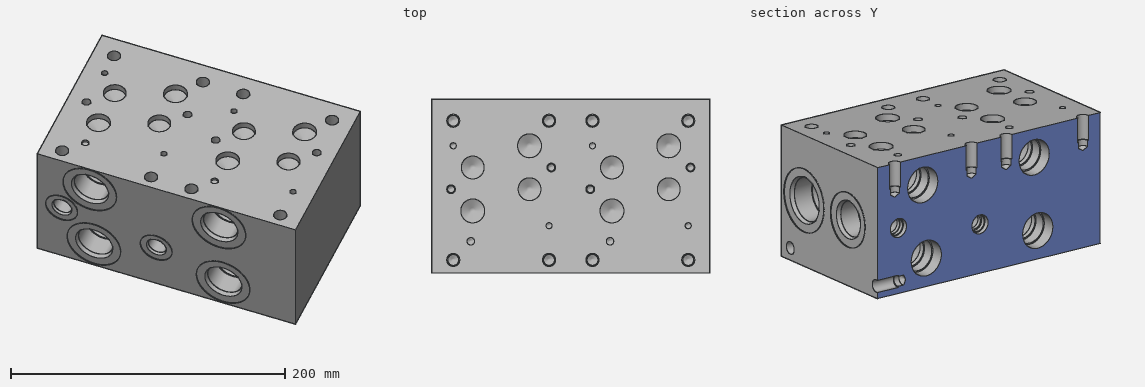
import cadquery as cq
import math

LENGTH = 203.2
WIDTH = 127.0
HEIGHT = 101.5

DRILL_POINT_ANGLE = 118.0

PATTERN_PITCH = LENGTH / 2
BOLT_SPACING_X = 70.0
BOLT_SPACING_Y = 101.5
BOLT_INSET = (PATTERN_PITCH - BOLT_SPACING_X) / 2
BOLT_ROW_TOP = WIDTH - BOLT_INSET

MAIN_BOLTS = [(x, y) for x in (0, BOLT_SPACING_X) for y in (0, BOLT_SPACING_Y)]
SMALL_BOLT_OVERHANG = 1.6
SMALL_BOLTS = [
    (BOLT_SPACING_X + SMALL_BOLT_OVERHANG, 34.1),
    (-SMALL_BOLT_OVERHANG, 50.0),
]
LEFT_PORT_COLUMN = 14.2
RIGHT_PORT_COLUMN = BOLT_SPACING_X - LEFT_PORT_COLUMN
WIDE_VALVE_PORTS = [(RIGHT_PORT_COLUMN, 18.3), (LEFT_PORT_COLUMN, 65.8)]
NARROW_VALVE_PORTS = [(LEFT_PORT_COLUMN, 34.1), (RIGHT_PORT_COLUMN, 50.0)]
PILOT_HOLES = [(0, 18.3), (BOLT_SPACING_X, 76.6)]
PIN_HOLES = [(12.8, 88.0)]

WIDE_VALVE_PORT_DIAMETER = 17.5
NARROW_VALVE_PORT_DIAMETER = 16.7
VALVE_PORT_DEPTH = 5.0
PILOT_DIAMETER = 4.5
PILOT_DEPTH = 5.0
PIN_DIAMETER = 5.5
PIN_DEPTH = 1.8

LARGE_TAP = (9.5, 19.0, 8.0, 23.8)
SMALL_TAP = (6.3, 12.8, 5.0, 15.8)

SMALL_PORT = ((25.0, 15.6, 14.6, 14.2, 12.8), (3.0, 13.2, 16.3, 19.3))
MEDIUM_PORT = ((42.0, 29.3, 27.5, 27.0, 25.0), (4.0, 19.7, 28.5, 32.5))
LARGE_PORT = ((48.8, 35.8, 33.7, 33.3, 31.3), (4.0, 19.7, 28.5, 32.5))
SPOT_FACE_DEPTH = 0.8

WORK_DRILL = 23.0
TANK_DRILL = 28.7
SIDE_GAUGE_DRILL = 12.0
CENTRE_GAUGE_DRILL = 10.5

B_PORT = (41.2, 79.5)
A_PORT = (44.5, 22.1)
SIDE_GAUGE_PORT = (19.0, HEIGHT / 2)
CENTRE_GAUGE_PORT = (93.5, 38.0)

T_PORT = (99.5, HEIGHT / 2)
P_PORT = (46.1, HEIGHT / 2)
MOUNT_HOLE_INSET = 11.2
MOUNT_HOLE_HEIGHT = 9.5


def revolve_cutter(outline):
    """Solid turned about the Z axis from (radius, z) points, starting and ending on the axis."""
    return cq.Workplane("XZ").polyline(outline).close().revolve(360, (0, 0), (0, 1))


def drill_point(diameter, depth):
    """Rim and tip of the cone that ends a hole of the given full-diameter depth."""
    radius = diameter / 2
    tip = radius / math.tan(math.radians(DRILL_POINT_ANGLE / 2))
    return [(radius, -depth), (0, -depth - tip)]


def drilled_hole(diameter, depth):
    return revolve_cutter([(0, 0), (diameter / 2, 0)] + drill_point(diameter, depth))


def tapped_hole(thread, thread_depth, drill, drill_depth):
    outline = [(0, 0), (thread / 2, 0), (thread / 2, -thread_depth), (drill / 2, -thread_depth)]
    return revolve_cutter(outline + drill_point(drill, drill_depth))


def hydraulic_port(diameters, depths, drill):
    """Spot face, tapered seal seat, thread and bore, then a narrower drill with its point."""
    spot, mouth, root, thread, bore = diameters
    seat_depth, thread_depth, bore_depth, drill_depth = depths
    outline = [
        (0, 0),
        (spot / 2, 0),
        (spot / 2, -SPOT_FACE_DEPTH),
        (mouth / 2, -SPOT_FACE_DEPTH),
        (root / 2, -seat_depth),
        (thread / 2, -seat_depth),
        (thread / 2, -thread_depth),
        (bore / 2, -thread_depth),
        (bore / 2, -bore_depth),
        (drill / 2, -bore_depth),
    ]
    return revolve_cutter(outline + drill_point(drill, drill_depth))


def on_top(cutter, x, y):
    return cutter.translate((x, y, HEIGHT))


def on_front(cutter, x, z):
    return cutter.rotate((0, 0, 0), (1, 0, 0), 90).translate((x, 0, z))


def on_end(cutter, y, z):
    return cutter.rotate((0, 0, 0), (0, 1, 0), -90).translate((0, y, z))


result = cq.Workplane("XY").box(LENGTH, WIDTH, HEIGHT, centered=False)

top_holes = [
    (tapped_hole(*LARGE_TAP), MAIN_BOLTS),
    (tapped_hole(*SMALL_TAP), SMALL_BOLTS),
    (drilled_hole(WIDE_VALVE_PORT_DIAMETER, VALVE_PORT_DEPTH), WIDE_VALVE_PORTS),
    (drilled_hole(NARROW_VALVE_PORT_DIAMETER, VALVE_PORT_DEPTH), NARROW_VALVE_PORTS),
    (drilled_hole(PILOT_DIAMETER, PILOT_DEPTH), PILOT_HOLES),
    (drilled_hole(PIN_DIAMETER, PIN_DEPTH), PIN_HOLES),
]
work_port = hydraulic_port(*MEDIUM_PORT, WORK_DRILL)
for pattern_x in (0, PATTERN_PITCH):
    for cutter, places in top_holes:
        for across, down in places:
            hole_x = pattern_x + BOLT_INSET + across
            result = result.cut(on_top(cutter, hole_x, BOLT_ROW_TOP - down))
    for port_x, port_z in (A_PORT, B_PORT):
        result = result.cut(on_front(work_port, pattern_x + port_x, port_z))

result = result.cut(on_front(hydraulic_port(*SMALL_PORT, SIDE_GAUGE_DRILL), *SIDE_GAUGE_PORT))
result = result.cut(on_front(hydraulic_port(*SMALL_PORT, CENTRE_GAUGE_DRILL), *CENTRE_GAUGE_PORT))

result = result.cut(on_end(hydraulic_port(*LARGE_PORT, TANK_DRILL), *T_PORT))
result = result.cut(on_end(hydraulic_port(*MEDIUM_PORT, WORK_DRILL), *P_PORT))
for hole_y in (MOUNT_HOLE_INSET, WIDTH - MOUNT_HOLE_INSET):
    result = result.cut(on_end(tapped_hole(*LARGE_TAP), hole_y, MOUNT_HOLE_HEIGHT))